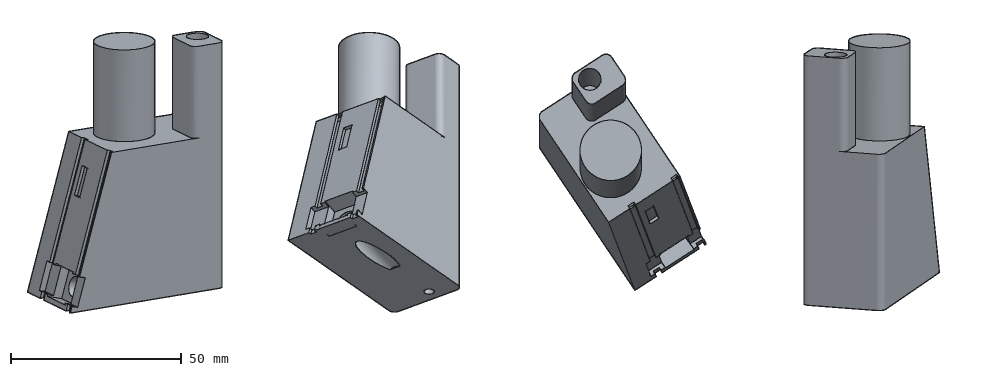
import cadquery as cq
import math

width = 25.0
base_depth = 52.29
top_depth = 38.29
body_height = 47.0
total_height = 75.0
corner_radius = 2.0

column_diameter = 18.0
column_x = 9.5
column_y = -25.0
post_width = 13.5
post_depth = 10.75

screw_x = 16.0
screw_y = -4.0
screw_diameter = 3.0
screw_head_diameter = 6.5
screw_head_depth = total_height - body_height

slope_run = base_depth - top_depth
slope_length = math.hypot(slope_run, body_height)
front_center_x = 16.0

groove_spacing = 15.0
groove_width = 2.0
groove_depth = 1.0
groove_top_overrun = 0.1
groove_bottom_overrun = groove_depth
wire_hole_diameter = 2.0
wire_hole_depth = 10.0
wire_hole_from_top = 1.5

step_width = 20.0
step_length = 9.0
step_depth = 2.0
step_from_top = 42.5

pocket_size = 10.0
pocket_depth = 5.0
pocket_hole_diameter = 6.0
pocket_hole_depth = 25.0

slot_width = 3.0
slot_length = 9.0
slot_depth = 1.0
slot_x = 13.0
slot_from_top = 12.0

slope_plane = cq.Plane(
    origin=(0, -top_depth, body_height),
    xDir=(1, 0, 0),
    normal=(0, -body_height, slope_run),
)


def make_body():
    side_profile = [
        (0, 0),
        (-base_depth, 0),
        (-top_depth, body_height),
        (0, body_height),
    ]
    body = cq.Workplane("YZ").polyline(side_profile).close().extrude(width)
    return body.edges("|Z and >Y").fillet(corner_radius)


def make_column():
    column = cq.Workplane("XY").center(column_x, column_y)
    return column.circle(column_diameter / 2).extrude(total_height)


def make_post():
    post = cq.Workplane("XY").box(post_width, post_depth, total_height, centered=False)
    post = post.translate((width - post_width, -post_depth, 0))
    return post.edges("|Z").fillet(corner_radius)


def make_screw_hole():
    axis = cq.Workplane("XY").center(screw_x, screw_y)
    shank = axis.circle(screw_diameter / 2).extrude(total_height)
    head = axis.workplane(offset=total_height - screw_head_depth)
    return shank.union(head.circle(screw_head_diameter / 2).extrude(screw_head_depth))


def slope_recess(x, from_top, recess_width, recess_length, depth):
    recess = cq.Workplane(slope_plane).center(x, -from_top)
    return recess.rect(recess_width, recess_length).extrude(depth, both=True)


def slope_hole(x, from_top, diameter, depth):
    return cq.Workplane(slope_plane).center(x, -from_top).circle(diameter / 2).extrude(-depth)


def cut_groove(body, x):
    groove_length = groove_top_overrun + slope_length + groove_bottom_overrun
    groove_from_top = groove_length / 2 - groove_top_overrun
    body = body.cut(slope_recess(x, groove_from_top, groove_width, groove_length, groove_depth))
    return body.cut(slope_hole(x, wire_hole_from_top, wire_hole_diameter, wire_hole_depth))


def cut_front_features(body):
    for side in (-1, 1):
        body = cut_groove(body, front_center_x + side * groove_spacing / 2)
    body = body.cut(slope_recess(front_center_x, step_from_top, step_width, step_length, step_depth))
    body = body.cut(slope_recess(front_center_x, step_from_top, pocket_size, pocket_size, pocket_depth))
    hole_depth = pocket_depth + pocket_hole_depth
    body = body.cut(slope_hole(front_center_x, step_from_top, pocket_hole_diameter, hole_depth))
    return body.cut(slope_recess(slot_x, slot_from_top, slot_width, slot_length, slot_depth))


solid = make_body().union(make_column()).union(make_post())
result = cut_front_features(solid).cut(make_screw_hole())